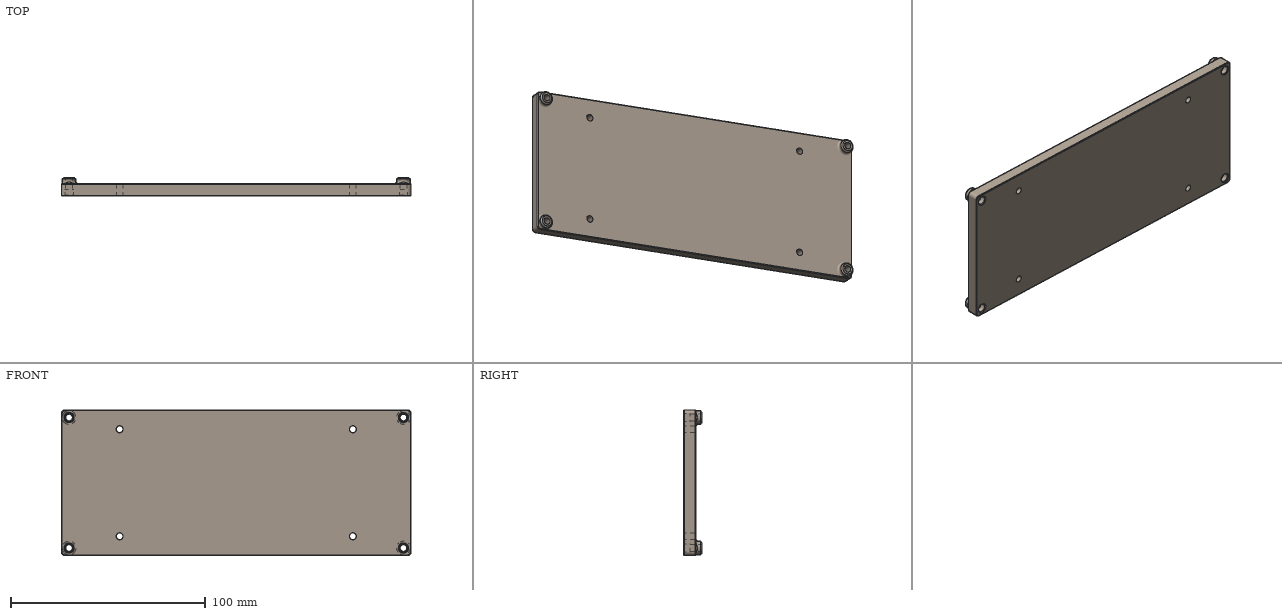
import cadquery as cq
import math

length = 180.0
height = 75.0
total_depth = 9.5
boss_height = 3.0
plate_thickness = total_depth - boss_height
corner_radius = 2.0
front_chamfer = 0.4
back_chamfer = 0.43

boss_diameter = 7.0
boss_inset = 4.0
boss_tip_chamfer = 0.81
boss_base_fillet = 1.0

screw_hole_diameter = 3.5
screw_head_diameter = 4.3
screw_head_depth = 3.2
screw_mouth_chamfer = 0.45

mount_hole_diameter = 3.5
mount_spacing_x = 120.0
mount_spacing_z = 55.0


def corner_points(spacing_x, spacing_z):
    """Four (x, z) places in a rectangle centred on the plate."""
    return [(sx * spacing_x / 2, sz * spacing_z / 2) for sx in (-1, 1) for sz in (-1, 1)]


def rounded_slab(inset, start, depth):
    """Rounded rectangle, inset from the plate outline, running along +Y from y = start."""
    return (
        cq.Workplane("XY").box(
            length - 2 * inset, depth, height - 2 * inset, centered=(True, False, True))
        .edges("|Y").fillet(corner_radius - inset)
        .translate((0, start, 0))
    )


def make_plate():
    """Rounded plate with chamfered front and back rims."""
    plate = rounded_slab(0, 0, plate_thickness)
    plate = plate.faces("<Y").edges().chamfer(front_chamfer)
    return plate.faces(">Y").edges().chamfer(back_chamfer)


def make_boss():
    """Boss turned about the Y axis, with a chamfered tip and a concave fillet at its base."""
    radius = boss_diameter / 2
    fillet_mid = boss_base_fillet * (1 - math.sqrt(0.5))
    return (
        cq.Workplane("XY")
        .moveTo(0, plate_thickness)
        .lineTo(radius + boss_base_fillet, plate_thickness)
        .threePointArc(
            (radius + fillet_mid, plate_thickness + fillet_mid),
            (radius, plate_thickness + boss_base_fillet))
        .lineTo(radius, total_depth - boss_tip_chamfer)
        .lineTo(radius - boss_tip_chamfer, total_depth)
        .lineTo(0, total_depth)
        .close()
        .revolve(360, (0, 0, 0), (0, 1, 0))
    )


def make_screw_hole():
    """Cutter for a screw hole, turned about the Y axis."""
    hole_radius = screw_hole_diameter / 2
    head_radius = screw_head_diameter / 2
    return (
        cq.Workplane("XY")
        .moveTo(0, 0)
        .lineTo(head_radius + screw_mouth_chamfer, 0)
        .lineTo(head_radius, screw_mouth_chamfer)
        .lineTo(head_radius, screw_head_depth)
        .lineTo(hole_radius, screw_head_depth)
        .lineTo(hole_radius, total_depth)
        .lineTo(0, total_depth)
        .close()
        .revolve(360, (0, 0, 0), (0, 1, 0))
    )


def make_mount_hole():
    """Cutter for a plain hole through the plate."""
    return cq.Workplane("XZ").circle(mount_hole_diameter / 2).extrude(-plate_thickness)


boss_points = corner_points(length - 2 * boss_inset, height - 2 * boss_inset)
mount_points = corner_points(mount_spacing_x, mount_spacing_z)

back_outline = rounded_slab(back_chamfer, plate_thickness, boss_height)

result = make_plate()
for x, z in boss_points:
    result = result.union(make_boss().translate((x, 0, z)).intersect(back_outline))
for x, z in boss_points:
    result = result.cut(make_screw_hole().translate((x, 0, z)))
for x, z in mount_points:
    result = result.cut(make_mount_hole().translate((x, 0, z)))